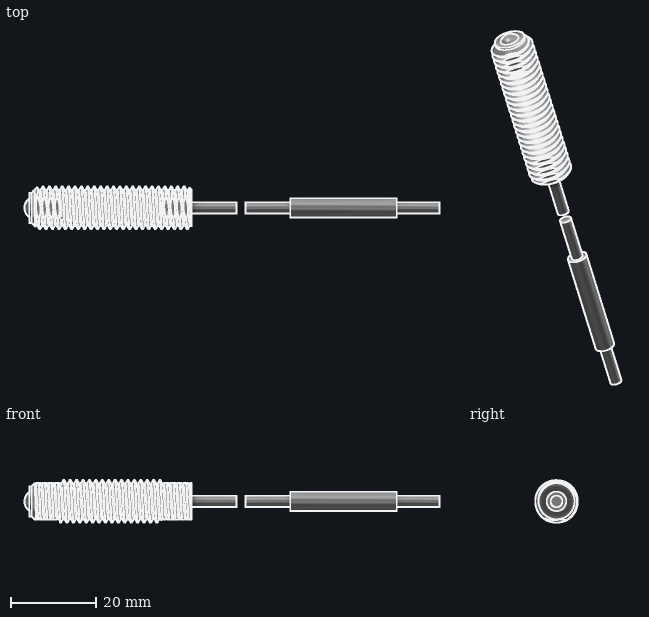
import cadquery as cq
import math

total_length = 97.2
dome_height = 1.2
housing_length = 38.0
cable_gap = 2.0
sleeve_length = 25.0
stub_length = 10.5

front_face_x = dome_height
rear_face_x = front_face_x + housing_length
housing_cable_end_x = rear_face_x + stub_length
tail_cable_start_x = housing_cable_end_x + cable_gap
sleeve_start_x = tail_cable_start_x + stub_length
sleeve_end_x = sleeve_start_x + sleeve_length

thread_diameter = 10.0
nose_diameter = 7.2
dome_base_diameter = 4.4
cable_diameter = 2.7
sleeve_diameter = 4.6

nose_length = 0.6
rear_chamfer = 0.8
flat_length = 7.1
flat_height = 8.65

pitch_to_diameter = 0.15
thread_pitch = thread_diameter * pitch_to_diameter
flank_half_angle = math.radians(30)
v_depth_fraction = 5 / 8
crest_fraction = 1 / 8
sharp_v_height = thread_pitch / 2 / math.tan(flank_half_angle)
thread_depth = sharp_v_height * v_depth_fraction
crest_width = thread_pitch * crest_fraction
first_crest_offset = 0.2
groove_clearance = 0.2

thread_radius = thread_diameter / 2
nose_radius = nose_diameter / 2


def cylinder_along_x(start_x, end_x, diameter):
    """Solid round bar on the X axis."""
    return cq.Workplane("YZ", origin=(start_x, 0, 0)).circle(diameter / 2).extrude(end_x - start_x)


def make_housing_blank():
    """Turned housing with a short nose, 45 degree end chamfers and a spherical dome."""
    dome_base_radius = dome_base_diameter / 2
    sphere_radius = (dome_base_radius**2 + dome_height**2) / (2 * dome_height)
    mid_angle = math.asin(dome_base_radius / sphere_radius) / 2
    dome_middle = (sphere_radius * (1 - math.cos(mid_angle)), sphere_radius * math.sin(mid_angle))
    nose_end_x = front_face_x + nose_length
    front_chamfer = thread_radius - nose_radius
    return (
        cq.Workplane("XY")
        .moveTo(0, 0)
        .threePointArc(dome_middle, (front_face_x, dome_base_radius))
        .lineTo(front_face_x, nose_radius)
        .lineTo(nose_end_x, nose_radius)
        .lineTo(nose_end_x + front_chamfer, thread_radius)
        .lineTo(rear_face_x - rear_chamfer, thread_radius)
        .lineTo(rear_face_x, thread_radius - rear_chamfer)
        .lineTo(rear_face_x, 0)
        .close()
        .revolve(360, (0, 0, 0), (1, 0, 0))
    )


def make_thread_groove():
    """Helical V groove that runs out past both ends of the housing."""
    root_radius = thread_radius - thread_depth
    outer_radius = thread_radius + groove_clearance
    flank_slope = math.tan(flank_half_angle)
    outer_half_width = (thread_pitch - crest_width) / 2 + groove_clearance * flank_slope
    root_half_width = (thread_pitch - crest_width) / 2 - thread_depth * flank_slope
    start_x = front_face_x + first_crest_offset - thread_pitch / 2
    turns = math.ceil(housing_length / thread_pitch) + 1
    helix = cq.Wire.makeHelix(thread_pitch, turns * thread_pitch, root_radius)
    helix = helix.moved(cq.Location(cq.Plane.named("YZ", (start_x, 0, 0))))
    return (
        cq.Workplane("XY")
        .polyline(
            [
                (start_x - root_half_width, root_radius),
                (start_x + root_half_width, root_radius),
                (start_x + outer_half_width, outer_radius),
                (start_x - outer_half_width, outer_radius),
            ]
        )
        .close()
        .sweep(cq.Workplane(helix), isFrenet=True)
    )


def mill_end_flats(housing):
    """Mill a pair of flats, above and below, at each end of the thread."""
    block_height = thread_diameter - flat_height
    block_z = (flat_height + block_height) / 2
    for block_x in (front_face_x + flat_length / 2, rear_face_x - flat_length / 2):
        for side in (-1, 1):
            block = cq.Workplane("XY", origin=(block_x, 0, side * block_z)).box(
                flat_length, thread_diameter, block_height
            )
            housing = housing.cut(block)
    return housing


def make_housing():
    """Threaded housing with its dome and the cable stub leaving its rear face."""
    threaded = make_housing_blank().cut(make_thread_groove())
    cable_stub = cylinder_along_x(rear_face_x, housing_cable_end_x, cable_diameter)
    return mill_end_flats(threaded).union(cable_stub)


def make_tail_cable():
    """Separate length of cable with a sleeve around its middle."""
    cable = cylinder_along_x(tail_cable_start_x, total_length, cable_diameter)
    return cable.union(cylinder_along_x(sleeve_start_x, sleeve_end_x, sleeve_diameter))


housing = make_housing()
tail_cable = make_tail_cable()
result = cq.Compound.makeCompound([housing.val(), tail_cable.val()])